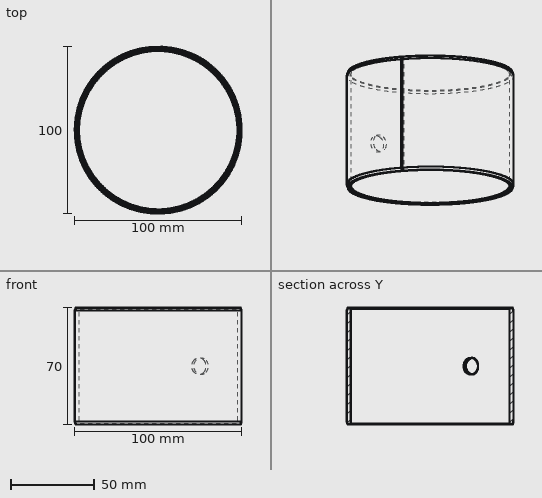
import cadquery as cq
import math

outer_diameter = 100.0
wall = 2.5
length = 70.0
outer_radius = outer_diameter / 2
inner_radius = outer_radius - wall
half_length = length / 2

outer_chamfer_axial = 1.75
outer_chamfer_angle = 20.0
outer_chamfer_radial = outer_chamfer_axial * math.tan(math.radians(outer_chamfer_angle))
inner_chamfer = 0.8

full_turn = 360.0
joint_angle = 1.0
ring_start_angle = 180.0
ring_sweep = full_turn - joint_angle
ring_end_angle = ring_start_angle - joint_angle

hole_diameter = 10.0
hole_angle = ring_end_angle - full_turn / 3


def make_sleeve():
    """Sweep the chamfered wall section around Z, leaving the joint open."""
    section = [
        (inner_radius, -half_length + inner_chamfer),
        (inner_radius + inner_chamfer, -half_length),
        (outer_radius - outer_chamfer_radial, -half_length),
        (outer_radius, -half_length + outer_chamfer_axial),
        (outer_radius, half_length - outer_chamfer_axial),
        (outer_radius - outer_chamfer_radial, half_length),
        (inner_radius + inner_chamfer, half_length),
        (inner_radius, half_length - inner_chamfer),
    ]
    profile = cq.Workplane("XZ").polyline(section).close()
    ring = profile.revolve(ring_sweep, (0, 0), (0, 1))
    return ring.rotate((0, 0, 0), (0, 0, 1), ring_start_angle)


def make_oil_hole():
    """Cylinder running outward from the axis through one side of the wall."""
    drill = cq.Workplane("YZ").circle(hole_diameter / 2).extrude(outer_diameter)
    return drill.rotate((0, 0, 0), (0, 0, 1), hole_angle)


result = make_sleeve().cut(make_oil_hole())